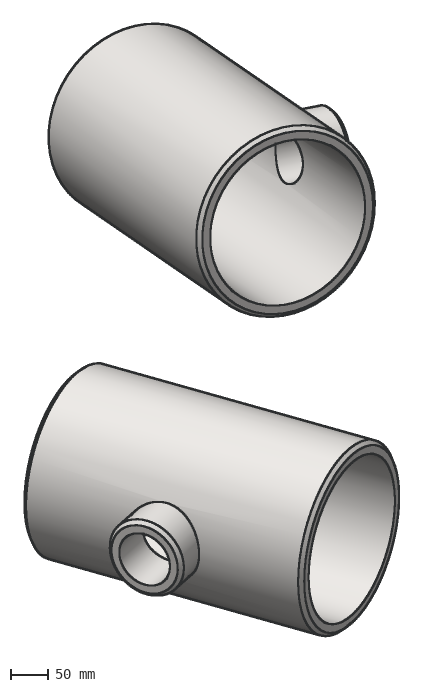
import cadquery as cq

pipe_length = 432.0
pipe_diameter = 273.0
wall = 18.0
pipe_bore = pipe_diameter - 2 * wall

branch_diameter = 114.5
branch_bore = branch_diameter - 2 * wall
branch_reach = 184.5

bevel = 6.0


def beveled_rod(plane, diameter, length):
    """Solid rod from the origin along the plane normal, beveled at its far end."""
    rod = cq.Workplane(plane).circle(diameter / 2).extrude(length)
    far_end = rod.faces(cq.selectors.DirectionMinMaxSelector(cq.Plane.named(plane).zDir, True))
    return far_end.chamfer(bevel)


half_pipe = beveled_rod("YZ", pipe_diameter, pipe_length / 2)
main_body = half_pipe.union(half_pipe.mirror("YZ"))
branch_body = beveled_rod("ZX", branch_diameter, branch_reach)

main_hole = cq.Workplane("YZ").circle(pipe_bore / 2).extrude(pipe_length / 2, both=True)
branch_hole = cq.Workplane("ZX").circle(branch_bore / 2).extrude(branch_reach)

result = main_body.union(branch_body).cut(main_hole).cut(branch_hole).clean()